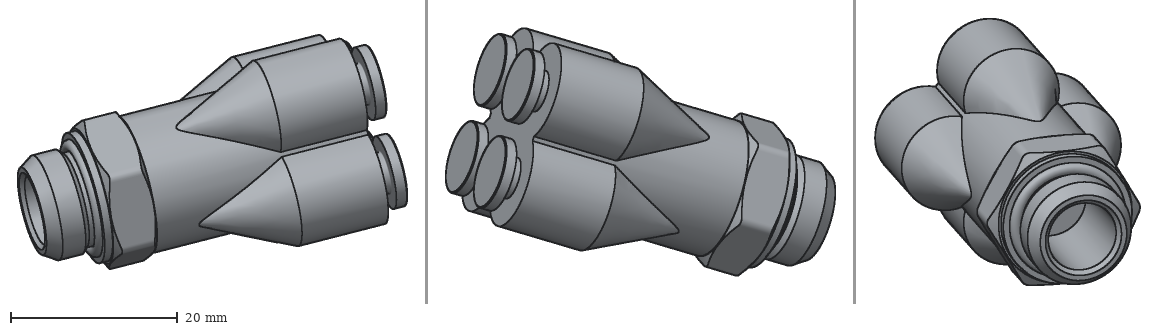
import cadquery as cq
import math

overall_length = 43.4
overall_width = 27.5

nose_shoulder = 1.7
groove_cone_start = 4.6
groove_start = 5.25
collar_start = 6.45
hex_start = 7.45
body_start = 12.98
lobe_cylinder_start = 29.5
lobe_end = 40.45
button_flange_start = 41.95

nose_radius = 6.5
nose_tip_radius = 5.42
groove_radius = 5.85
seal_centre_radius = 6.55
seal_section_radius = 0.75
collar_radius = 8.07

bore_radius = 4.25
bore_chamfer = 0.5
bore_depth = body_start

body_radius = 8.45
lobe_count = 4
lobe_radius = 6.0
lobe_offset = overall_width / 2 - lobe_radius
lobe_cone_length = 12.7

hex_across_flats = 2 * body_radius
hex_corner_fillet = 1.17
hex_bevel_angle = 30
hex_face_radius = 8.38

button_stem_radius = 2.55
button_flange_radius = 4.5
button_fillet = 0.17
button_edge_chamfer = 0.15


def turned(profile):
    """Revolve a closed (radius, y) profile about the Y axis."""
    return profile.close().revolve(360, (0, 0, 0), (0, 1, 0))


def cylinder(radius, start, end):
    """Cylinder along the Y axis between two stations."""
    return cq.Workplane("XZ", origin=(0, start, 0)).circle(radius).extrude(start - end)


def make_nose():
    return turned(
        cq.Workplane("XY")
        .lineTo(nose_tip_radius, 0)
        .lineTo(nose_radius, nose_shoulder)
        .lineTo(nose_radius, groove_cone_start)
        .lineTo(groove_radius, groove_start)
        .lineTo(groove_radius, collar_start)
        .lineTo(collar_radius, collar_start)
        .lineTo(collar_radius, hex_start)
        .lineTo(0, hex_start)
    )


def make_seal():
    """O-ring lying half sunk in the face of the collar."""
    section = cq.Workplane("XY").center(seal_centre_radius, collar_start).circle(seal_section_radius)
    return section.revolve(360, (-seal_centre_radius, 0, 0), (-seal_centre_radius, 1, 0))


def make_hexagon():
    across_corners = hex_across_flats / math.cos(math.pi / 6)
    prism = (
        cq.Workplane("XZ", origin=(0, hex_start, 0))
        .polygon(6, across_corners)
        .extrude(hex_start - body_start)
        .edges("|Y")
        .fillet(hex_corner_fillet)
    )
    envelope_radius = across_corners / 2
    bevel_length = (envelope_radius - hex_face_radius) * math.tan(math.radians(hex_bevel_angle))
    envelope = turned(
        cq.Workplane("XY")
        .moveTo(0, hex_start)
        .lineTo(hex_face_radius, hex_start)
        .lineTo(envelope_radius, hex_start + bevel_length)
        .lineTo(envelope_radius, body_start - bevel_length)
        .lineTo(hex_face_radius, body_start)
        .lineTo(0, body_start)
    )
    return prism.intersect(envelope)


def make_lobe():
    """Outlet lobe with a conical root and its release button, centred on the Y axis."""
    lobe = turned(
        cq.Workplane("XY")
        .moveTo(0, lobe_cylinder_start - lobe_cone_length)
        .lineTo(lobe_radius, lobe_cylinder_start)
        .lineTo(lobe_radius, lobe_end)
        .lineTo(0, lobe_end)
    )
    button = turned(
        cq.Workplane("XY")
        .moveTo(0, lobe_end)
        .lineTo(button_stem_radius, lobe_end)
        .lineTo(button_stem_radius, button_flange_start - button_fillet)
        .radiusArc((button_stem_radius + button_fillet, button_flange_start), button_fillet)
        .lineTo(button_flange_radius, button_flange_start)
        .lineTo(button_flange_radius, overall_length - button_edge_chamfer)
        .lineTo(button_flange_radius - button_edge_chamfer, overall_length)
        .lineTo(0, overall_length)
    )
    return lobe.union(button)


def make_bore():
    return turned(
        cq.Workplane("XY")
        .lineTo(bore_radius + bore_chamfer, 0)
        .lineTo(bore_radius, bore_chamfer)
        .lineTo(bore_radius, bore_depth)
        .lineTo(0, bore_depth)
    )


fitting = make_nose().union(make_seal()).union(make_hexagon())
fitting = fitting.union(cylinder(body_radius, body_start, lobe_end))

lobe_at_side = make_lobe().translate((lobe_offset, 0, 0))
for index in range(lobe_count):
    angle = index * 360 / lobe_count
    fitting = fitting.union(lobe_at_side.rotate((0, 0, 0), (0, 1, 0), angle))

fitting = fitting.cut(make_bore())

result = fitting.translate((0, -overall_length / 2, 0))